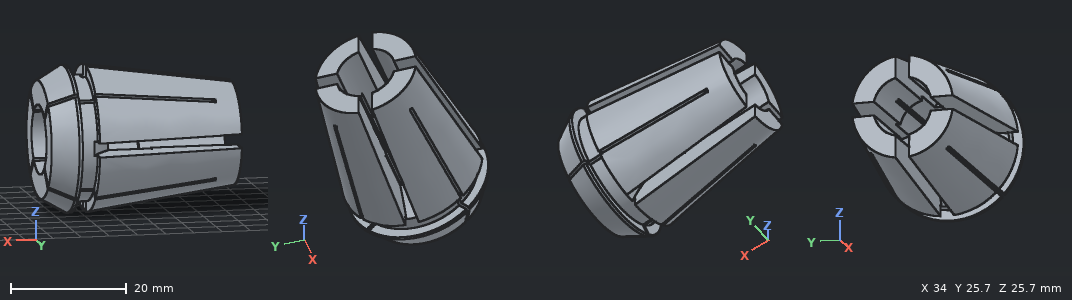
import cadquery as cq
import math

length = 34.0
outer_radius = 12.85

taper_length = 25.98
taper_angle = 8.0
narrow_radius = outer_radius - taper_length * math.tan(math.radians(taper_angle))
groove_width = 3.05
groove_radius = 10.98
rim_width = 0.58
head_angle = 30.0

clearance_radius = 5.3
clearance_depth = 15.3
grip_radius = 6.05

slot_width = 2.45
slot_end = 26.6
cutter_radius = 22.45
slot_cutter_height = 21.3

slit_width = 0.58
slit_start = 4.2
slit_cutter_height = 24.28

slots_per_end = 4
slot_pitch = 360.0 / slots_per_end


def collet_body():
    """Outer shape turned about the X axis."""
    rim_start = taper_length + groove_width
    rim_end = rim_start + rim_width
    face_radius = outer_radius - (length - rim_end) * math.tan(math.radians(head_angle))
    profile = [
        (0, 0),
        (0, narrow_radius),
        (taper_length, outer_radius),
        (taper_length, groove_radius),
        (rim_start, groove_radius),
        (rim_start, outer_radius),
        (rim_end, outer_radius),
        (length, face_radius),
        (length, 0),
    ]
    return cq.Workplane("XY").polyline(profile).close().revolve(360, (0, 0, 0), (1, 0, 0))


def stepped_bore():
    grip = cq.Workplane("YZ").workplane(offset=clearance_depth)
    grip = grip.circle(grip_radius).extrude(length - clearance_depth)
    return cq.Workplane("YZ").circle(clearance_radius).extrude(clearance_depth).union(grip)


def half_slab(start, end, width):
    """Slab from the axis up to the outer radius."""
    slab = cq.Workplane("XY", origin=(start, 0, 0))
    return slab.box(end - start, width, outer_radius, centered=(False, True, False))


def cutter_disc(center_x, center_height, width):
    disc = cq.Workplane("XZ", origin=(center_x, 0, center_height))
    return disc.circle(cutter_radius).extrude(width / 2, both=True)


def cutter_reach(center_height, height):
    """Half-length of the cutter's cut at a height above the axis."""
    return math.sqrt(cutter_radius**2 - (center_height - height) ** 2)


def wide_slot():
    """Slot on the +Z side, ending on the cutter arc that meets the groove floor at slot_end."""
    center_x = slot_end - cutter_reach(slot_cutter_height, groove_radius)
    run_out = cutter_disc(center_x, slot_cutter_height, slot_width)
    run_out = run_out.intersect(half_slab(0, length, slot_width))
    return run_out.union(half_slab(0, center_x, slot_width))


def thin_slit():
    """Slit on the +Z side, starting on the cutter arc that meets the taper at slit_start."""
    taper_radius = narrow_radius + slit_start * math.tan(math.radians(taper_angle))
    center_x = slit_start + cutter_reach(slit_cutter_height, taper_radius)
    run_out = cutter_disc(center_x, slit_cutter_height, slit_width)
    run_out = run_out.intersect(half_slab(0, length, slit_width))
    return run_out.union(half_slab(center_x, length, slit_width))


result = collet_body().cut(stepped_bore())
for index in range(slots_per_end):
    angle = index * slot_pitch
    result = result.cut(wide_slot().rotate((0, 0, 0), (1, 0, 0), angle))
    result = result.cut(thin_slit().rotate((0, 0, 0), (1, 0, 0), angle + slot_pitch / 2))